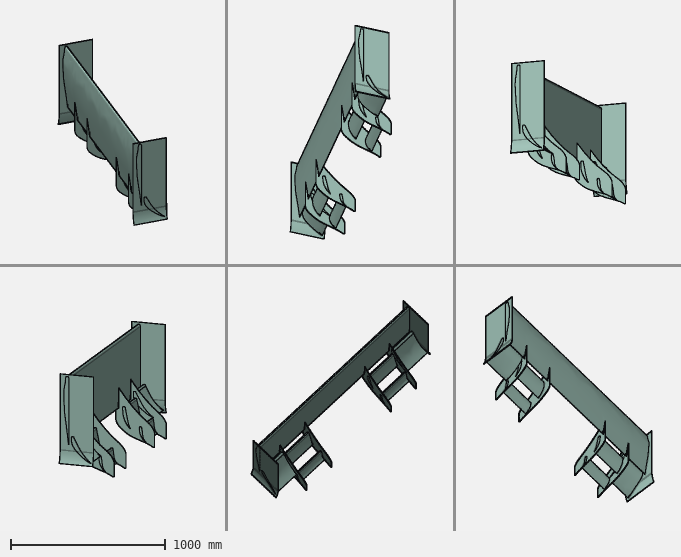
import cadquery as cq
import math

overall_width = 1408.0
overall_depth = 304.0
overall_height = 713.0
plate_thickness = 5.0

end_plate_depth = 230.0
end_plate_bottom = 117.0
flare_start = 203.0
flare_offset = 18.0

outer_support_x = 497.0
inner_support_x = 272.0
support_top = 380.0
support_front = 38.0
support_front_bottom = 176.0
support_rear_top = 103.0
support_tip_setback = 7.0

half_width = overall_width / 2
end_plate_outer_x = half_width - flare_offset
outer_support_face = outer_support_x + plate_thickness / 2
inner_support_face = inner_support_x - plate_thickness / 2

main_wing_nose = (50.0, 700.0)
main_wing_front = [(37.0, 677.0), (25.0, 608.0), (25.0, 534.0), (31.0, 444.0), (44.0, 352.0), (56.0, 244.0)]
main_wing_back = [(59.0, 685.0), (59.0, 244.0)]

outer_flap_nose = (85.0, 299.0)
outer_flap_front = [(76.0, 282.0), (80.0, 252.0), (114.0, 200.0), (145.0, 173.0), (182.0, 148.0), (214.0, 134.0)]
outer_flap_back = [(96.0, 289.0), (120.0, 244.0), (141.0, 208.0), (176.0, 166.0), (214.0, 135.0)]

upper_flap_nose = (95.0, 256.0)
upper_flap_front = [(85.0, 234.0), (87.0, 201.0), (103.0, 155.0), (135.0, 111.0)]
upper_flap_back = [(103.0, 245.0), (113.0, 197.0), (121.0, 155.0), (137.0, 113.0)]

lower_flap_nose = (208.0, 131.0)
lower_flap_front = [(200.0, 111.0), (201.0, 96.0), (214.0, 62.0), (242.0, 31.0)]
lower_flap_back = [(215.0, 120.0), (221.0, 83.0), (225.0, 59.0), (244.0, 32.0)]


def airfoil(nose, front, back, x_start, x_end):
    """Blade of constant section between two X positions, with a blunt trailing edge."""
    section = cq.Workplane("YZ", origin=(x_start, 0, 0)).moveTo(*nose)
    section = section.spline(front, tangents=[(-1, 0)] + [None] * len(front), includeCurrent=True)
    section = section.lineTo(*back[-1])
    if len(back) > 2:
        section = section.spline(back[-2::-1], includeCurrent=True)
    else:
        section = section.lineTo(*back[0])
    section = section.threePointArc(nose_arc_point(nose, back[0]), nose).close()
    return section.extrude(x_end - x_start)


def nose_arc_point(nose, shoulder):
    """Middle of the quarter-round cap from the nose down to the back shoulder."""
    drop = nose[1] - shoulder[1]
    reach = shoulder[0] - nose[0]
    return (nose[0] + reach * math.sin(math.pi / 4), shoulder[1] + drop * math.cos(math.pi / 4))


flare_drop = flare_start - end_plate_bottom
flare_radius = (flare_drop**2 + flare_offset**2) / (2 * flare_offset)
flare_angle = math.asin(flare_drop / flare_radius)
flare_centre_x = end_plate_outer_x + flare_radius


def flare_point(radius, angle):
    """Point (X, Z) on an arc about the flare centre, turned down from the flat part."""
    return (flare_centre_x - radius * math.cos(angle), flare_start - radius * math.sin(angle))


def end_plate_outer_edge():
    """Open outline down the outer face of the right-hand end plate, ending at the flare tip."""
    return (
        cq.Workplane("XZ")
        .moveTo(end_plate_outer_x, overall_height)
        .lineTo(end_plate_outer_x, flare_start)
        .threePointArc(flare_point(flare_radius, flare_angle / 2),
                       flare_point(flare_radius, flare_angle))
    )


def end_plate():
    """Right-hand end plate of even thickness."""
    inner_radius = flare_radius + plate_thickness
    inner_x = end_plate_outer_x - plate_thickness
    return (
        end_plate_outer_edge()
        .lineTo(*flare_point(inner_radius, flare_angle))
        .threePointArc(flare_point(inner_radius, flare_angle / 2), (inner_x, flare_start))
        .lineTo(inner_x, overall_height)
        .close()
        .extrude(-end_plate_depth)
    )


def outer_flap():
    """Flap from the outer support to the end plate, trimmed flush with the plate's outer face."""
    flap = airfoil(outer_flap_nose, outer_flap_front, outer_flap_back, outer_support_x, half_width)
    inboard_space = (
        end_plate_outer_edge()
        .lineTo(outer_support_x, end_plate_bottom)
        .lineTo(outer_support_x, overall_height)
        .close()
        .extrude(-end_plate_depth)
    )
    return flap.intersect(inboard_space)


def support_plate(centre_x):
    """Swept plate carrying the flaps, reaching from the main wing to the rear tip."""
    lower_edge = [(72.0, 111.0), (120.0, 75.0), (183.0, 46.0), (246.0, 25.0),
                  (overall_depth - support_tip_setback, 0)]
    upper_edge = [(292.0, 130.0), (273.0, 152.0), (230.0, 189.0), (148.0, 268.0), (58.0, support_top)]
    return (
        cq.Workplane("YZ", origin=(centre_x - plate_thickness / 2, 0, 0))
        .moveTo(support_front, support_top)
        .lineTo(support_front, support_front_bottom)
        .spline(lower_edge, tangents=[(0, -1)] + [None] * len(lower_edge), includeCurrent=True)
        .lineTo(overall_depth, support_tip_setback / 2)
        .lineTo(overall_depth, support_rear_top)
        .spline(upper_edge, includeCurrent=True)
        .close()
        .extrude(plate_thickness)
    )


def right_half_parts():
    """End plate, supports and flaps on the +X side."""
    return [
        end_plate(),
        support_plate(outer_support_x),
        support_plate(inner_support_x),
        outer_flap(),
        airfoil(upper_flap_nose, upper_flap_front, upper_flap_back,
                inner_support_face, outer_support_face),
        airfoil(lower_flap_nose, lower_flap_front, lower_flap_back,
                inner_support_face, outer_support_face),
    ]


result = airfoil(main_wing_nose, main_wing_front, main_wing_back,
                 -end_plate_outer_x, end_plate_outer_x)
for component in right_half_parts():
    result = result.union(component, clean=False)
    result = result.union(component.mirror("YZ"), clean=False)